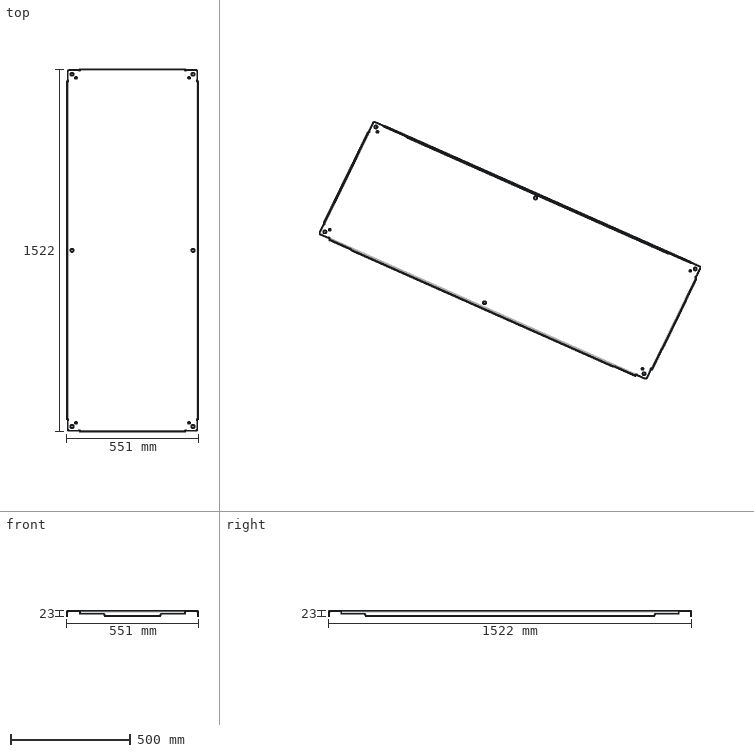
import cadquery as cq
import math

width = 551.0
length = 1522.0
height = 23.0

thickness = 2.5
inner_bend_radius = 3.0
bend_radius = inner_bend_radius + thickness

tab_inset = 3.0
tab_corner_radius = 8.0
relief_width = 5.0

shallow_depth = 14.0
end_flange_length = 441.0
end_lip_length = 231.0
side_flange_length = 1419.0
side_lip_length = 1212.0
lip_run_out = 5.0

mounting_hole_diameter = 12.6
mounting_hole_x = 255.0
mounting_hole_y = 740.0
pilot_hole_diameter = 7.2
pilot_hole_x = 237.0
pilot_hole_y = 725.0


def make_plate():
    """Flat plate with rounded corners, its top face at Z = 0."""
    return (
        cq.Workplane("XY")
        .rect(width - 2 * tab_inset, length - 2 * tab_inset)
        .extrude(-thickness)
        .edges("|Z")
        .fillet(tab_corner_radius)
    )


def make_relief(outer_reach, flange_length):
    """Strip along the +Y edge that makes room for a fold and its two end notches."""
    return (
        cq.Workplane("XY")
        .box(flange_length + 2 * relief_width, bend_radius, 2 * thickness)
        .translate((0, outer_reach - bend_radius / 2, -thickness / 2))
    )


def make_flange(outer_reach, flange_length, lip_length):
    """Fold along the +Y edge, its outer face at Y = outer_reach."""
    fold_line = outer_reach - bend_radius
    inner_face = outer_reach - thickness
    bend_center_z = -bend_radius

    def on_bend(radius):
        diagonal = math.sqrt(0.5)
        return (fold_line + radius * diagonal, bend_center_z + radius * diagonal)

    strip = (
        cq.Workplane("YZ")
        .moveTo(fold_line, 0)
        .threePointArc(on_bend(bend_radius), (outer_reach, bend_center_z))
        .lineTo(outer_reach, -height)
        .lineTo(inner_face, -height)
        .lineTo(inner_face, bend_center_z)
        .threePointArc(on_bend(inner_bend_radius), (fold_line, -thickness))
        .close()
        .extrude(flange_length / 2, both=True)
    )

    half_flange = flange_length / 2
    half_lip = lip_length / 2
    outline = (
        cq.Workplane("XZ")
        .polyline([
            (-half_flange, 0),
            (-half_flange, -shallow_depth),
            (-half_lip - lip_run_out, -shallow_depth),
            (-half_lip, -height),
            (half_lip, -height),
            (half_lip + lip_run_out, -shallow_depth),
            (half_flange, -shallow_depth),
            (half_flange, 0),
        ])
        .close()
        .extrude(-outer_reach)
    )
    return strip.intersect(outline)


def drill(panel, diameter, centers):
    """Cut round holes through the plate."""
    holes = (
        cq.Workplane("XY")
        .pushPoints(centers)
        .circle(diameter / 2)
        .extrude(thickness, both=True)
    )
    return panel.cut(holes)


panel = make_plate()

folds = [
    (0, length / 2, end_flange_length, end_lip_length),
    (180, length / 2, end_flange_length, end_lip_length),
    (90, width / 2, side_flange_length, side_lip_length),
    (270, width / 2, side_flange_length, side_lip_length),
]
for angle, outer_reach, flange_length, lip_length in folds:
    relief = make_relief(outer_reach, flange_length)
    flange = make_flange(outer_reach, flange_length, lip_length)
    panel = panel.cut(relief.rotate((0, 0, 0), (0, 0, 1), angle))
    panel = panel.union(flange.rotate((0, 0, 0), (0, 0, 1), angle))

mounting_centers = [
    (side * mounting_hole_x, row)
    for side in (-1, 1)
    for row in (-mounting_hole_y, 0, mounting_hole_y)
]
pilot_centers = [
    (side * pilot_hole_x, end * pilot_hole_y)
    for side in (-1, 1)
    for end in (-1, 1)
]
panel = drill(panel, mounting_hole_diameter, mounting_centers)
result = drill(panel, pilot_hole_diameter, pilot_centers)